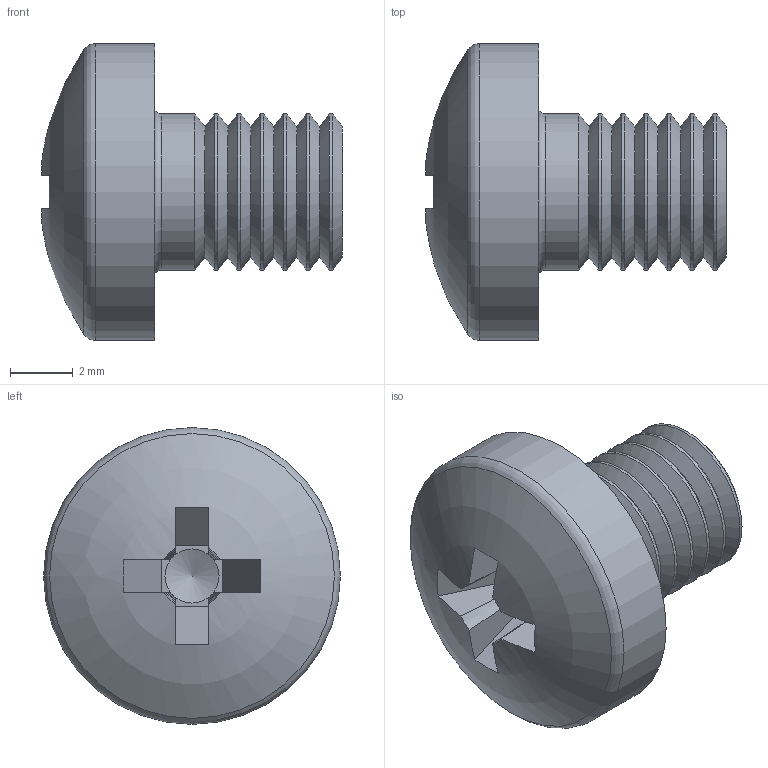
import cadquery as cq
import math

HEAD_DIAMETER = 9.5
HEAD_HEIGHT = 3.7
DOME_RADIUS = 8.0
RIM_RADIUS = 0.45

SHANK_LENGTH = 6.0
SHANK_DIAMETER = 5.0
NECK_FLARE_LENGTH = 0.2
NECK_FLARE_HEIGHT = 0.12
PLAIN_LENGTH = 1.28

CREST_COUNT = 6
ROOT_RADIUS = 2.09
CREST_FLAT = 0.1
FLANK_LENGTH = (SHANK_LENGTH - PLAIN_LENGTH - CREST_COUNT * CREST_FLAT) / (2 * CREST_COUNT + 1)

WING_WIDTH = 1.06
RECESS_DEPTH = 3.0
FLOOR_HALF_WIDTH = 0.975
WING_TAPER = math.radians(24.5)
CORE_FLOOR_RADIUS = 0.865
CORE_TAPER = math.radians(3.5)
CONE_HALF_ANGLE = math.radians(67)
CLEARANCE = 0.5


def screw_body():
    """Revolve head, neck and threaded shank about the X axis."""
    head_radius = HEAD_DIAMETER / 2
    shank_radius = SHANK_DIAMETER / 2
    dome_center = DOME_RADIUS - HEAD_HEIGHT

    rim_offset = head_radius - RIM_RADIUS
    rim_angle = math.asin(rim_offset / (DOME_RADIUS - RIM_RADIUS))
    rim_center = dome_center - (DOME_RADIUS - RIM_RADIUS) * math.cos(rim_angle)

    def dome_point(angle):
        return (dome_center - DOME_RADIUS * math.cos(angle), DOME_RADIUS * math.sin(angle))

    rim_mid_angle = (rim_angle + math.pi / 2) / 2
    rim_mid = (
        rim_center - RIM_RADIUS * math.cos(rim_mid_angle),
        rim_offset + RIM_RADIUS * math.sin(rim_mid_angle),
    )

    flare_radius = (NECK_FLARE_LENGTH**2 + NECK_FLARE_HEIGHT**2) / (2 * NECK_FLARE_HEIGHT)
    flare_half_angle = math.asin(NECK_FLARE_LENGTH / flare_radius) / 2
    flare_mid = (
        NECK_FLARE_LENGTH - flare_radius * math.sin(flare_half_angle),
        shank_radius + flare_radius * (1 - math.cos(flare_half_angle)),
    )

    profile = (
        cq.Workplane("XY")
        .moveTo(-HEAD_HEIGHT, 0)
        .threePointArc(dome_point(rim_angle / 2), dome_point(rim_angle))
        .threePointArc(rim_mid, (rim_center, head_radius))
        .lineTo(0, head_radius)
        .lineTo(0, shank_radius + NECK_FLARE_HEIGHT)
        .threePointArc(flare_mid, (NECK_FLARE_LENGTH, shank_radius))
        .lineTo(PLAIN_LENGTH, shank_radius)
    )
    x = PLAIN_LENGTH + FLANK_LENGTH
    profile = profile.lineTo(x, ROOT_RADIUS)
    for _ in range(CREST_COUNT):
        crest_start = x + FLANK_LENGTH
        crest_end = crest_start + CREST_FLAT
        x = crest_end + FLANK_LENGTH
        profile = (
            profile.lineTo(crest_start, shank_radius)
            .lineTo(crest_end, shank_radius)
            .lineTo(x, ROOT_RADIUS)
        )
    return profile.lineTo(SHANK_LENGTH, 0).close().revolve(360, (0, 0, 0), (1, 0, 0))


def wing_cutter(floor_x, top_x):
    """A slot along Y whose two end walls slope outwards towards the dome."""
    top_half_width = FLOOR_HALF_WIDTH + (floor_x - top_x) * math.tan(WING_TAPER)
    return (
        cq.Workplane("XY")
        .moveTo(floor_x, -FLOOR_HALF_WIDTH)
        .lineTo(floor_x, FLOOR_HALF_WIDTH)
        .lineTo(top_x, top_half_width)
        .lineTo(top_x, -top_half_width)
        .close()
        .extrude(WING_WIDTH / 2, both=True)
    )


def core_cutter(floor_x, top_x):
    """A slightly tapered round core between the wings, with a conical bottom below the floor."""
    top_radius = CORE_FLOOR_RADIUS + (floor_x - top_x) * math.tan(CORE_TAPER)
    cone_depth = CORE_FLOOR_RADIUS / math.tan(CONE_HALF_ANGLE)
    return (
        cq.Workplane("XY")
        .moveTo(top_x, 0)
        .lineTo(top_x, top_radius)
        .lineTo(floor_x, CORE_FLOOR_RADIUS)
        .lineTo(floor_x + cone_depth, 0)
        .close()
        .revolve(360, (0, 0, 0), (1, 0, 0))
    )


def recess_cutter():
    """Two crossed wings and the core between them."""
    floor_x = RECESS_DEPTH - HEAD_HEIGHT
    top_x = -HEAD_HEIGHT - CLEARANCE
    wing = wing_cutter(floor_x, top_x)
    crossing_wing = wing.rotate((0, 0, 0), (1, 0, 0), 90)
    return wing.union(crossing_wing).union(core_cutter(floor_x, top_x))


result = screw_body().cut(recess_cutter())